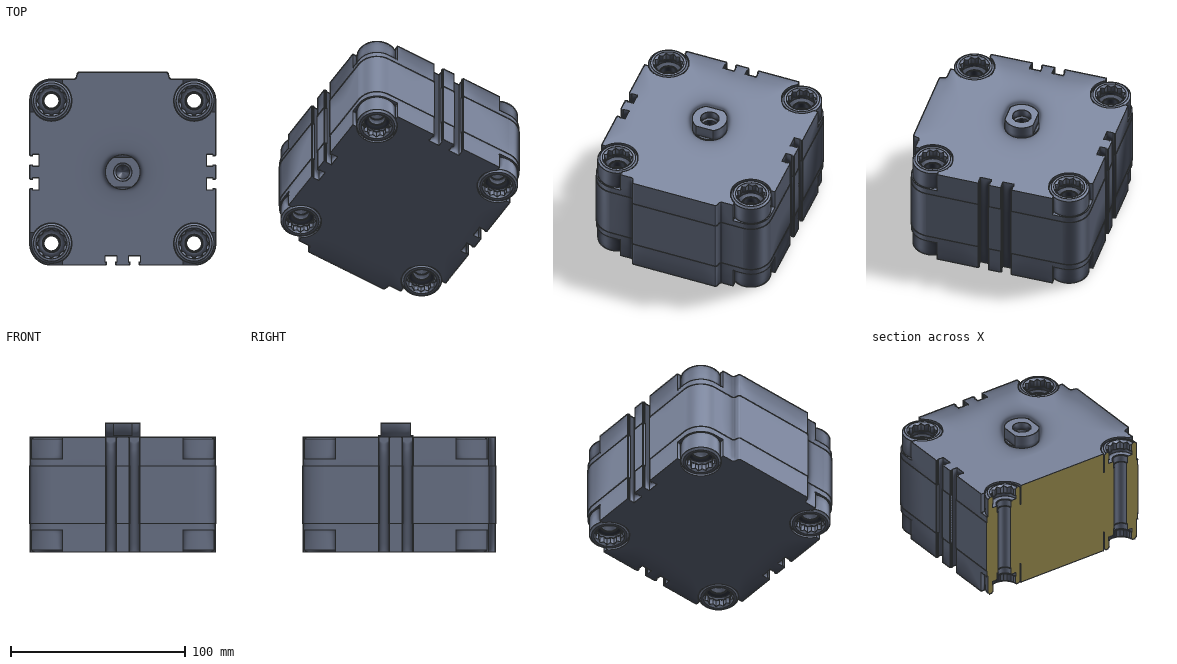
import cadquery as cq
import math

OVERALL_DEPTH = 111
BODY_HEIGHT = 66.0
TOTAL_HEIGHT = 74.0
CAP_HEIGHT = 16.5

HALF_WIDTH = 53.5
CAP_INSET = 0.2
SCREW_OFFSET = 41.0
CORNER_RADIUS = HALF_WIDTH - SCREW_OFFSET

PAD_FACE_Y = OVERALL_DEPTH - HALF_WIDTH
PAD_HALF_BASE = 27.0
PAD_HALF_FACE = 26.0
PAD_FILLET = 1.4

SLOT_OFFSET = 6.8
SLOT_MOUTH_WIDTH = 5.2
SLOT_INNER_WIDTH = 6.8
SLOT_LIP_DISTANCE = 51.7
SLOT_FLOOR_DISTANCE = 48.2
SLOT_MOUTH_CHAMFER = 0.4

HEAD_DIAMETER = 23.0
HEAD_HEIGHT = 12.7
HEAD_RECESS_DIAMETER = 23.5
HEAD_CHAMFER = 1.2
NOTCH_INSET = 6.3
SOCKET_CORNER_DIAMETER = 16.5
HEXAGON_SIDES = 6
SOCKET_HEXAGONS = 2
SOCKET_MOUTH_DIAMETER = 17.8
SOCKET_DEPTH = 7.8
SOCKET_POINTS_DEPTH = 5.5
SCREW_BORE_DIAMETER = 8.5
SCREW_RECESS_DIAMETER = 9.8
SCREW_RECESS_MOUTH = 10.5
SCREW_RECESS_DEPTH = 4.4

ROD_DIAMETER = 20
ROD_SEAT_Z = BODY_HEIGHT - CAP_HEIGHT
ROD_WIDTH_ACROSS_FLATS = 17.0
ROD_FLAT_HEIGHT = 7.1
ROD_HOLE_DIAMETER = 10.5
ROD_HOLE_DEPTH = 4.9
ROD_HOLE_CONE_HEIGHT = 0.8
ROD_PILOT_DIAMETER = 8.0
ROD_PILOT_DEPTH = 10
DRILL_POINT_ANGLE = 118

SCREW_CENTRES = [(x, y) for x in (-SCREW_OFFSET, SCREW_OFFSET) for y in (-SCREW_OFFSET, SCREW_OFFSET)]


def turned(outline):
    """Solid of revolution about Z from (radius, z) points."""
    return cq.Workplane("XZ").polyline(outline).close().revolve(360, (0, 0), (0, 1))


def slot_outline(face_inset):
    """T-slot opening to +Y through a face set back by face_inset, as (x, y) points about its middle."""
    mouth = SLOT_MOUTH_WIDTH / 2 + face_inset
    inner = SLOT_INNER_WIDTH / 2
    face = HALF_WIDTH - face_inset
    right = [
        (inner, SLOT_FLOOR_DISTANCE),
        (inner, SLOT_LIP_DISTANCE),
        (mouth, SLOT_LIP_DISTANCE),
        (mouth, face - SLOT_MOUTH_CHAMFER),
        (mouth + SLOT_MOUTH_CHAMFER, face),
    ]
    left = [(-x, y) for x, y in reversed(right)]
    return right + left


def slot_pair(face_inset, turn, height):
    """Two T-slot cutters for the +Y side, turned about Z to the side they belong to."""
    slot = cq.Workplane("XY").polyline(slot_outline(face_inset)).close().extrude(height)
    pair = slot.translate((-SLOT_OFFSET, 0, 0)).union(slot.translate((SLOT_OFFSET, 0, 0)))
    return pair.rotate((0, 0, 0), (0, 0, 1), turn)


def block(height):
    """Rounded square block with the port pad, standing on Z = 0."""
    square = cq.Workplane("XY").rect(2 * HALF_WIDTH, 2 * HALF_WIDTH).extrude(height)
    square = square.edges("|Z").fillet(CORNER_RADIUS)
    pad_outline = [
        (-PAD_HALF_BASE, 0),
        (-PAD_HALF_BASE, HALF_WIDTH),
        (-PAD_HALF_FACE, PAD_FACE_Y),
        (PAD_HALF_FACE, PAD_FACE_Y),
        (PAD_HALF_BASE, HALF_WIDTH),
        (PAD_HALF_BASE, 0),
    ]
    pad = cq.Workplane("XY").polyline(pad_outline).close().extrude(height)
    margin = PAD_FILLET
    pad_corners = cq.selectors.BoxSelector(
        (-PAD_HALF_BASE - margin, HALF_WIDTH - margin, 0),
        (PAD_HALF_BASE + margin, PAD_FACE_Y + margin, height),
    )
    return square.union(pad).edges("|Z").edges(pad_corners).fillet(PAD_FILLET)


def section(height, face_inset):
    """Length of the housing with its faces set back by face_inset and slots on three sides."""
    body = block(height)
    if face_inset:
        body = body.faces("<Z").wires().toPending().offset2D(-face_inset).extrude(height, combine=False)
    for turn in (90, 180, -90):
        body = body.cut(slot_pair(face_inset, turn, height))
    return body


def screw_head():
    """Screw head with its top at Z = 0 and a twelve-point socket."""
    head = (
        cq.Workplane("XY")
        .workplane(offset=-HEAD_HEIGHT)
        .circle(HEAD_DIAMETER / 2)
        .extrude(HEAD_HEIGHT)
        .faces(">Z")
        .chamfer(HEAD_CHAMFER)
    )
    hexagon_turn = 360 / (HEXAGON_SIDES * SOCKET_HEXAGONS)
    for index in range(SOCKET_HEXAGONS):
        hexagon = (
            cq.Workplane("XY")
            .polygon(HEXAGON_SIDES, SOCKET_CORNER_DIAMETER)
            .extrude(-SOCKET_POINTS_DEPTH)
            .rotate((0, 0, 0), (0, 0, 1), index * hexagon_turn)
        )
        head = head.cut(hexagon)
    return head.cut(socket_chamber()).cut(socket_mouth()).cut(screw_recess())


def socket_chamber():
    """Round chamber below the twelve points."""
    chamber = cq.Workplane("XY").workplane(offset=-SOCKET_DEPTH).circle(SOCKET_CORNER_DIAMETER / 2)
    return chamber.extrude(SOCKET_DEPTH - SOCKET_POINTS_DEPTH)


def socket_mouth():
    """45 degree countersink at the socket opening, ending level with the foot of the points."""
    mouth_radius = SOCKET_MOUTH_DIAMETER / 2
    return turned([
        (0, 0),
        (mouth_radius, 0),
        (mouth_radius - SOCKET_POINTS_DEPTH, -SOCKET_POINTS_DEPTH),
        (0, -SOCKET_POINTS_DEPTH),
    ])


def screw_recess():
    """Flared round recess in the socket floor."""
    radius = SCREW_RECESS_DIAMETER / 2
    mouth_radius = SCREW_RECESS_MOUTH / 2
    floor_z = -SOCKET_DEPTH - SCREW_RECESS_DEPTH
    return turned([
        (0, -SOCKET_DEPTH),
        (mouth_radius, -SOCKET_DEPTH),
        (radius, -SOCKET_DEPTH - (mouth_radius - radius)),
        (radius, floor_z),
        (0, floor_z),
    ])


def cap_with_screws():
    """End cap with its four screw heads, standing on Z = 0 with the heads at the top."""
    cap = section(CAP_HEIGHT, CAP_INSET)
    notch_width = NOTCH_INSET + CORNER_RADIUS
    notch_offset = SCREW_OFFSET - NOTCH_INSET + notch_width / 2
    head = screw_head().translate((0, 0, CAP_HEIGHT))
    for x, y in SCREW_CENTRES:
        notch_centre = (math.copysign(notch_offset, x), math.copysign(notch_offset, y))
        seat = cq.Workplane("XY").workplane(offset=CAP_HEIGHT - HEAD_HEIGHT)
        notch = seat.center(*notch_centre).rect(notch_width, notch_width).extrude(HEAD_HEIGHT)
        recess = seat.center(x, y).circle(HEAD_RECESS_DIAMETER / 2).extrude(HEAD_HEIGHT)
        cap = cap.cut(notch).cut(recess).union(head.translate((x, y, 0)))
    return cap


def screw_bores():
    """Holes through the whole housing along the screw axes."""
    return cq.Workplane("XY").pushPoints(SCREW_CENTRES).circle(SCREW_BORE_DIAMETER / 2).extrude(BODY_HEIGHT)


def rod_blank(height):
    """Plain rod cylinder rising from its seat in the upper cap."""
    return cq.Workplane("XY").workplane(offset=ROD_SEAT_Z).circle(ROD_DIAMETER / 2).extrude(height)


def rod_flats():
    """Material outside the two wrench flats, which face -Y and +Y."""
    return (
        cq.Workplane("XY")
        .workplane(offset=TOTAL_HEIGHT)
        .rect(ROD_DIAMETER, ROD_DIAMETER)
        .rect(ROD_DIAMETER, ROD_WIDTH_ACROSS_FLATS)
        .extrude(-ROD_FLAT_HEIGHT)
    )


def rod_hole():
    """Stepped blind hole down the rod: entry bore, cone, pilot bore and drill point."""
    entry_radius = ROD_HOLE_DIAMETER / 2
    pilot_radius = ROD_PILOT_DIAMETER / 2
    step_z = TOTAL_HEIGHT - ROD_HOLE_DEPTH
    pilot_z = step_z - ROD_HOLE_CONE_HEIGHT
    bottom_z = TOTAL_HEIGHT - ROD_PILOT_DEPTH
    point_height = pilot_radius / math.tan(math.radians(DRILL_POINT_ANGLE / 2))
    return turned([
        (0, TOTAL_HEIGHT),
        (entry_radius, TOTAL_HEIGHT),
        (entry_radius, step_z),
        (pilot_radius, pilot_z),
        (pilot_radius, bottom_z),
        (0, bottom_z - point_height),
    ])


upper_cap = cap_with_screws().translate((0, 0, BODY_HEIGHT - CAP_HEIGHT))
lower_cap = cap_with_screws().mirror("XY").translate((0, 0, CAP_HEIGHT))
barrel = section(BODY_HEIGHT - 2 * CAP_HEIGHT, 0).translate((0, 0, CAP_HEIGHT))
housing = barrel.union(upper_cap).union(lower_cap)
housing = housing.cut(screw_bores()).cut(rod_blank(BODY_HEIGHT - ROD_SEAT_Z)).clean()

piston_rod = rod_blank(TOTAL_HEIGHT - ROD_SEAT_Z).cut(rod_flats()).cut(rod_hole())

result = cq.Compound.makeCompound([housing.solids().val(), piston_rod.solids().val()])